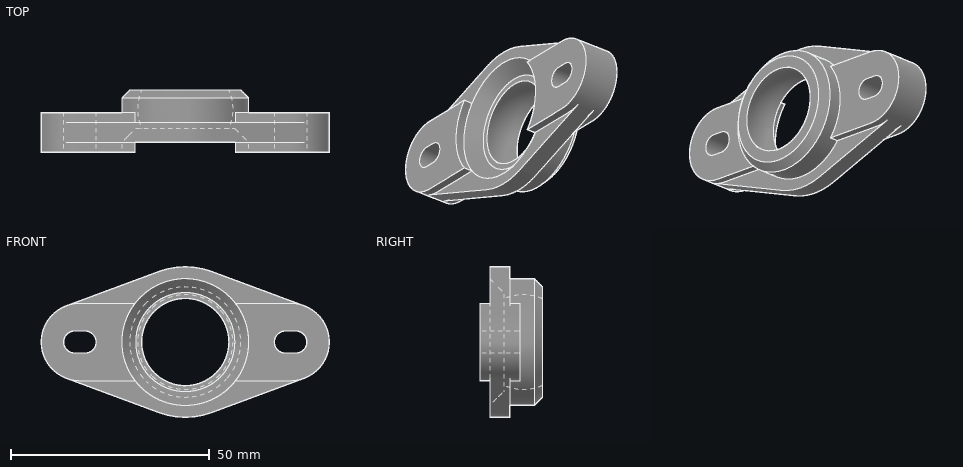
import cadquery as cq
import math

overall_length = 72.6
overall_depth = 15.75
plate_width = 38.0
pad_width = 19.5
pad_depth = 10.0
plate_depth = 5.0
boss_radius = 16.0
boss_chamfer = 2.0
seat_radius = 12.5
socket_opening_radius = 11.0
slot_length = 8.1
slot_width = 5.5

center_radius = plate_width / 2
pad_radius = pad_width / 2
pad_center_x = overall_length / 2 - pad_radius
pad_front = -overall_depth / 2
pad_back = pad_front + pad_depth
plate_front = pad_front + (pad_depth - plate_depth) / 2
boss_back = overall_depth / 2
seat_depth = boss_radius - seat_radius
socket_front = plate_front + seat_depth


def sketch_at(y):
    """XZ workplane at the given Y; positive extrusion runs toward -Y."""
    return cq.Workplane(cq.Plane(origin=(0, y, 0), xDir=(1, 0, 0), normal=(0, -1, 0)))


def disc(radius, start, end):
    return sketch_at(start).circle(radius).extrude(start - end)


def flange_plate():
    """Central and end circles joined by their common tangents."""
    slope_sin = (center_radius - pad_radius) / pad_center_x
    slope_cos = math.sqrt(1 - slope_sin**2)
    center_x, center_z = center_radius * slope_sin, center_radius * slope_cos
    end_x, end_z = pad_center_x + pad_radius * slope_sin, pad_radius * slope_cos
    half_length = overall_length / 2
    return (
        sketch_at(plate_front)
        .moveTo(-center_x, center_z)
        .threePointArc((0, center_radius), (center_x, center_z))
        .lineTo(end_x, end_z)
        .threePointArc((half_length, 0), (end_x, -end_z))
        .lineTo(center_x, -center_z)
        .threePointArc((0, -center_radius), (-center_x, -center_z))
        .lineTo(-end_x, -end_z)
        .threePointArc((-half_length, 0), (-end_x, end_z))
        .close()
        .extrude(-plate_depth)
    )


def pads():
    """Rounded bar cleared around the round opening, leaving one pad at each end."""
    bar = sketch_at(pad_front).slot2D(overall_length, pad_width).extrude(-pad_depth)
    return bar.cut(disc(boss_radius, pad_front, pad_back))


def boss():
    return disc(boss_radius, plate_front, boss_back).faces(">Y").chamfer(boss_chamfer)


def tapered_seat():
    """Cone narrowing from the plate face to the flat seat around the socket."""
    return (
        cq.Workplane("XY")
        .moveTo(0, plate_front)
        .lineTo(boss_radius, plate_front)
        .lineTo(seat_radius, socket_front)
        .lineTo(0, socket_front)
        .close()
        .revolve(360, (0, 0, 0), (0, 1, 0))
    )


def spherical_socket():
    """Barrel-shaped bore, bulging as a sphere between two equal circular openings."""
    socket_middle = (socket_front + boss_back) / 2
    half_depth = (boss_back - socket_front) / 2
    sphere_radius = math.hypot(socket_opening_radius, half_depth)
    return (
        cq.Workplane("XY")
        .moveTo(0, socket_front)
        .lineTo(socket_opening_radius, socket_front)
        .threePointArc((sphere_radius, socket_middle), (socket_opening_radius, boss_back))
        .lineTo(0, boss_back)
        .close()
        .revolve(360, (0, 0, 0), (0, 1, 0))
    )


def mounting_slots():
    return (
        sketch_at(pad_front)
        .pushPoints([(-pad_center_x, 0), (pad_center_x, 0)])
        .slot2D(slot_length, slot_width)
        .extrude(-pad_depth)
    )


body = flange_plate().union(boss()).union(pads())
body = body.cut(tapered_seat())
body = body.cut(spherical_socket())
result = body.cut(mounting_slots())